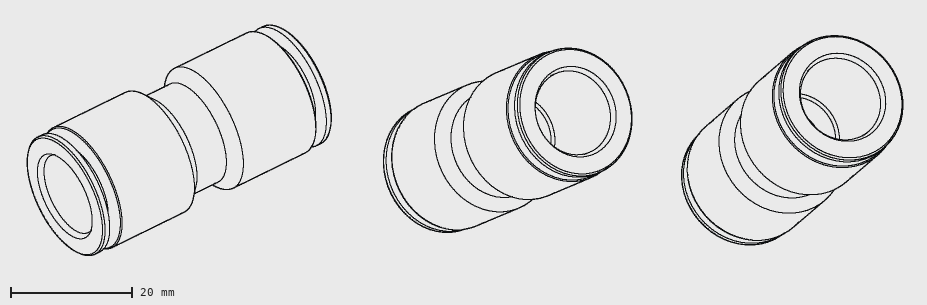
import cadquery as cq


half_length = 46.8 / 2
body_radius = 22.0 / 2

waist_radius = 9.0
waist_half_width = 3.0
waist_taper_length = body_radius - waist_radius

body_end = 20.0
body_edge_chamfer = 0.2
end_cone_radius = 9.75
end_cone_height = 0.34

neck_radius = 7.9
flange_radius = 10.75
flange_rim_thickness = 1.25
flange_back_taper = 0.1
flange_chamfer = 0.3

tube_hole_radius = 7.05
lead_in_width = 0.55
lead_in_depth = 0.95
stop_radius = 6.5
stop_half_width = waist_half_width
stop_taper_length = 0.3


def revolve_both_halves(half_profile):
    """Mirror a (radius, axial position) outline about the middle and turn it about the Y axis."""
    mirrored = [(radius, -position) for radius, position in reversed(half_profile)]
    outline = cq.Workplane("ZY").polyline(mirrored + half_profile).close()
    return outline.revolve(360, (0, 0, 0), (0, 1, 0))


def make_outside():
    """Waist, sockets and release collars as one solid body."""
    flange_back = half_length - flange_rim_thickness
    return revolve_both_halves([
        (waist_radius, waist_half_width),
        (body_radius, waist_half_width + waist_taper_length),
        (body_radius, body_end - body_edge_chamfer),
        (body_radius - body_edge_chamfer, body_end),
        (end_cone_radius, body_end),
        (neck_radius, body_end + end_cone_height),
        (neck_radius, flange_back - flange_back_taper),
        (flange_radius, flange_back),
        (flange_radius, half_length - flange_chamfer),
        (flange_radius - flange_chamfer, half_length),
        (0, half_length),
    ])


def make_bore():
    """Through bore with a lead-in at each end and the tube stop in the middle."""
    return revolve_both_halves([
        (stop_radius, stop_half_width),
        (tube_hole_radius, stop_half_width + stop_taper_length),
        (tube_hole_radius, half_length - lead_in_depth),
        (tube_hole_radius + lead_in_width, half_length),
        (0, half_length),
    ])


result = make_outside().cut(make_bore())